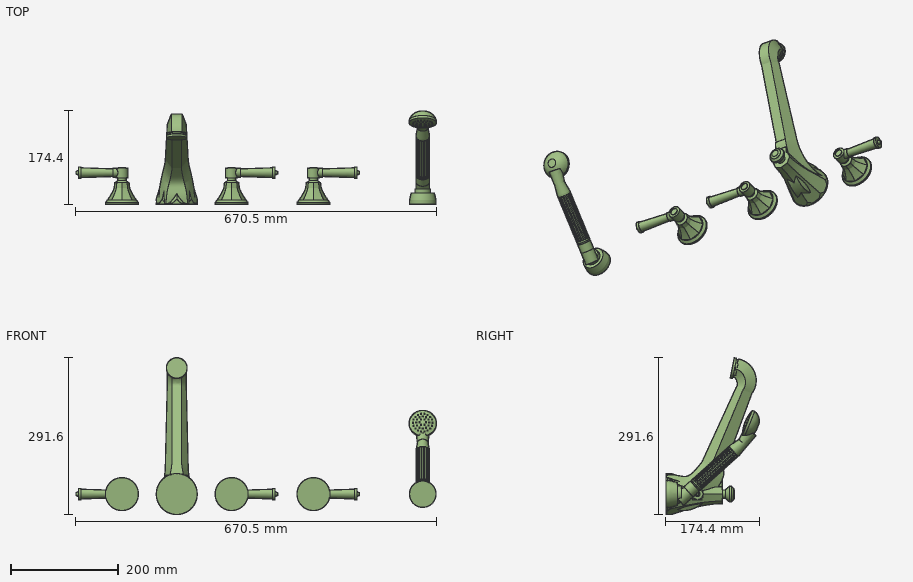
import cadquery as cq
import math


inlet_pitch = 102.0
far_handle_x = 254.0
handle_places = [(-inlet_pitch, -1), (inlet_pitch, 1), (far_handle_x, 1)]
shower_x = 457.0

octagon_half_angle = 22.5
flat_ratio = math.cos(math.radians(octagon_half_angle))

handle_base_radius = 31.0
handle_base_rim = 3.5
handle_base_height = 9.0
handle_base_top_radius = handle_base_radius - 4.0
bell_mid_radius, bell_mid_height = 20.0, 19.0
bell_waist_radius = 15.0
bell_waist_height = 30.0
bell_top_height = 41.0
bell_top_radius = 13.5
hub_skirt_height = 3.5
hub_neck_radius = 8.0
hub_bottom, hub_top = 49.5, 68.0
hub_radius = 11.5
hub_button_radius, hub_button_height = 7.0, 1.5
lever_height = 59.0
lever_start = 17.0
lever_end = 76.5
lever_tip = 86.0
lever_collar_radius = 9.0
lever_small_radius, lever_large_radius = 7.5, 9.5
lever_cap_radius, lever_cap_length = 11.0, 5.0
lever_button_radius = 5.0

spout_base_radius = 38.0
spout_base_rim = 3.0
barrel_end = 105.0
barrel_profile = [
    (spout_base_radius + 3.5, 0),
    (31.0, 33.5),
    (22.0, 67.0),
    (18.0, barrel_end),
]
rear_block_half_width, rear_block_front, rear_block_top = 10.0, 74.0, 26.0
tube_half_widths = (9.0, 18.0, 10.0)
hexagon_middle_share = 0.43
root_section = ((1.5, 35.0), (1.5, -13.5), (20.0, 33.5, 20.0))
low_bend_section = ((35.0, 33.0), (74.0, -13.5), (15.5, 28.0, 10.0))
high_bend_section = ((51.0, 41.0), (104.5, 26.0), (11.5, 23.0, 11.5))
tube_bottom_section = ((67.0, 59.5), (107.0, 43.0), (9.0, 21.5, 10.0))
tube_top_section = ((131.0, 198.5), (160.0, 187.0), tube_half_widths)
nose_sections = [
    ((133.0, 208.0), (168.0, 213.0), tube_half_widths),
    ((129.5, 215.0), (160.0, 235.0), tube_half_widths),
    ((124.5, 218.0), (135.5, 251.0), tube_half_widths),
]
outlet_radius = 19.5
outlet_rim = 5.0
outlet_step = 3.0
outlet_center = (123.0, 234.5)
outlet_tilt = 11.3
knob_stem_radius = 8.0
knob_radius = 15.0
knob_stem_length = 5.5
knob_mid, knob_end = 120.0, 128.0
knob_rim_half = 2.0
knob_crown_radius, knob_tip_radius = 11.0, 7.0
knob_crown_drop = 2.0

holder_radius = 25.0
holder_height = 21.5
holder_wall_height = 7.5
holder_shoulder_middle = (23.5, 15.0)
holder_shoulder_radius = 21.5
holder_collar_radius, holder_collar_top = 15.0, 29.0
wand_foot = (42.0, 4.0)
wand_angle = 42.0
wand_radius = 13.0
socket_length = 23.5
grip_start = 19.0
ring_width, ring_depth = 3.0, 1.5
grip_end = 116.0
neck_end = 135.5
neck_radius = 10.0
flute_count = 16
flute_radius = 1.5
flute_margin = 3.5
head_center = (151.5, 132.0)
head_tilt = 22.0
head_radius = 25.5
head_depth = 21.0
face_bulge = 5.0
face_arc_middle = (14.0, 3.5)
back_arc_middle = (19.5, -15.0)
head_side = 5.0
head_back_radius = 8.0
throat_top = (157.5, 116.0)
throat_radius = 13.0
nozzle_radius = 1.0
nozzle_depth = 2.0
nozzle_ring_pitch = 6.0
nozzle_rings = 3
nozzles_per_ring = 6


def revolve_about_y(profile):
    """Solid of revolution about Y from (radius, y) points that start and end on the axis."""
    return cq.Workplane("XY").polyline(profile).close().revolve(360, (0, 0, 0), (0, 1, 0))


def octagonal_flare(corner_profile):
    """Eight-sided column along Y with corners on X and Z; the profile lists (corner radius, y)."""
    half = [(radius * flat_ratio, y) for radius, y in corner_profile]
    mirrored = [(-radius, y) for radius, y in reversed(half)]
    reach = 2 * max(radius for radius, _ in half)
    slab = (
        cq.Workplane("XY", origin=(0, 0, -reach))
        .moveTo(*half[0])
        .spline(half[1:], includeCurrent=True)
        .lineTo(*mirrored[0])
        .spline(mirrored[1:], includeCurrent=True)
        .close()
        .extrude(2 * reach)
        .rotate((0, 0, 0), (0, 1, 0), octagon_half_angle)
    )
    column = slab
    for turn in (45, 90, 135):
        column = column.intersect(slab.rotate((0, 0, 0), (0, 1, 0), turn))
    return column


def tilted_plane(x, center, angle):
    """Plane at (y, z) whose normal lies in YZ, turned by angle from +Y towards +Z."""
    turn = math.radians(angle)
    return cq.Plane((x, *center), (1, 0, 0), (0, math.cos(turn), math.sin(turn)))


def lever():
    """Lever along +X with a collar, a tapered grip, an end cap and a button."""
    cap_end = lever_end + lever_cap_length
    profile = [
        (0, 0),
        (0, lever_collar_radius),
        (lever_start, lever_collar_radius),
        (lever_start, lever_small_radius),
        (lever_end, lever_large_radius),
        (lever_end, lever_cap_radius),
        (cap_end, lever_cap_radius),
        (cap_end, lever_button_radius),
        (lever_tip, lever_button_radius / 2),
        (lever_tip, 0),
    ]
    return (
        cq.Workplane("XY")
        .polyline(profile)
        .close()
        .revolve(360, (0, 0, 0), (1, 0, 0))
        .translate((0, lever_height, 0))
    )


def handle(x, side):
    base = revolve_about_y([
        (0, 0),
        (handle_base_radius, 0),
        (handle_base_radius, handle_base_rim),
        (handle_base_top_radius, handle_base_height),
        (0, handle_base_height),
    ])
    bell = octagonal_flare([
        (handle_base_top_radius, handle_base_height),
        (bell_mid_radius, bell_mid_height),
        (bell_waist_radius, bell_waist_height),
    ])
    crown = octagonal_flare([(bell_waist_radius, bell_waist_height), (bell_top_radius, bell_top_height)])
    hub = revolve_about_y([
        (0, bell_top_height),
        (bell_top_radius * flat_ratio, bell_top_height),
        (hub_neck_radius, bell_top_height + hub_skirt_height),
        (hub_neck_radius, hub_bottom),
        (hub_radius, hub_bottom),
        (hub_radius, hub_top),
        (hub_button_radius, hub_top),
        (hub_button_radius, hub_top + hub_button_height),
        (0, hub_top + hub_button_height),
    ])
    lever_turn = 0 if side > 0 else 180
    arm = lever().rotate((0, 0, 0), (0, 1, 0), lever_turn)
    return base.union(bell).union(crown).union(hub).union(arm).translate((x, 0, 0))


def hexagon(front, back, half_widths):
    """Hexagonal wire across the spout between its front and back points, given as (y, z)."""
    front_half, middle_half, back_half = half_widths
    middle = tuple(f + hexagon_middle_share * (b - f) for f, b in zip(front, back))
    corners = [
        (-front_half, *front),
        (front_half, *front),
        (middle_half, *middle),
        (back_half, *back),
        (-back_half, *back),
        (-middle_half, *middle),
    ]
    return cq.Wire.makePolygon([cq.Vector(*corner) for corner in corners], close=True)


def hexagon_loft(sections, ruled=False):
    return cq.Workplane(cq.Solid.makeLoft([hexagon(*section) for section in sections], ruled))


def neck_of_spout():
    """Hexagonal foot that bends up from the deck, the straight tube and the curved nose."""
    foot = hexagon_loft([root_section, low_bend_section, high_bend_section, tube_bottom_section])
    tube = hexagon_loft([tube_bottom_section, tube_top_section], ruled=True)
    nose = hexagon_loft([tube_top_section, *nose_sections])
    return foot.union(tube).union(nose)


def outlet():
    """Round outlet rim with a smaller round neck behind it."""
    face = tilted_plane(0, outlet_center, 180 - outlet_tilt)
    rim = cq.Workplane(face).circle(outlet_radius).extrude(-outlet_rim)
    neck = cq.Workplane(face).circle(outlet_radius - outlet_step).extrude(-2 * outlet_rim)
    return rim.union(neck)


def barrel():
    """Eight-sided valve barrel trimmed to the round base, with a block joining it to the bend."""
    envelope = cq.Workplane("XZ").circle(spout_base_radius).extrude(-barrel_end)
    rim = cq.Workplane("XZ").circle(spout_base_radius).extrude(-spout_base_rim)
    rear_block = (
        cq.Workplane("XZ", origin=(0, rear_block_front, rear_block_top / 2))
        .rect(2 * rear_block_half_width, rear_block_top)
        .extrude(rear_block_front - barrel_end)
    )
    return octagonal_flare(barrel_profile).intersect(envelope).union(rim).union(rear_block)


def diverter_knob():
    return revolve_about_y([
        (0, barrel_end),
        (knob_stem_radius, barrel_end),
        (knob_stem_radius, barrel_end + knob_stem_length),
        (knob_radius, knob_mid - knob_rim_half),
        (knob_radius, knob_mid + knob_rim_half),
        (knob_crown_radius, knob_end - knob_crown_drop),
        (knob_tip_radius, knob_end),
        (0, knob_end),
    ])


def spout():
    return barrel().union(neck_of_spout()).union(outlet()).union(diverter_knob())


def shower_holder():
    bell = (
        cq.Workplane("XY")
        .lineTo(holder_radius, 0)
        .lineTo(holder_radius, holder_wall_height)
        .threePointArc(holder_shoulder_middle, (holder_shoulder_radius, holder_height))
        .lineTo(holder_collar_radius, holder_height)
        .lineTo(holder_collar_radius, holder_collar_top)
        .lineTo(0, holder_collar_top)
        .close()
        .revolve(360, (0, 0, 0), (0, 1, 0))
        .translate((shower_x, 0, 0))
    )
    socket = cq.Workplane(wand_plane(0)).circle(wand_radius).extrude(-socket_length)
    return bell.union(socket)


def wand_point(distance):
    """Point (y, z) on the wand axis, at a distance from the wand foot."""
    turn = math.radians(wand_angle)
    return (wand_foot[0] + distance * math.cos(turn), wand_foot[1] + distance * math.sin(turn))


def wand_plane(distance):
    return tilted_plane(shower_x, wand_point(distance), wand_angle)


def grip():
    """Round wand with lengthwise flutes between two plain ends, and a slimmer tapered neck."""
    shaft = cq.Workplane(wand_plane(0)).circle(wand_radius).extrude(grip_end)
    flutes = (
        cq.Workplane(wand_plane(grip_start + flute_margin))
        .polarArray(wand_radius, 0, 360, flute_count)
        .circle(flute_radius)
        .extrude(grip_end - grip_start - 2 * flute_margin)
    )
    ring = (
        cq.Workplane(wand_plane(grip_start))
        .circle(wand_radius)
        .circle(wand_radius - ring_depth)
        .extrude(-ring_width)
    )
    neck = (
        cq.Workplane(wand_plane(grip_end))
        .circle(wand_radius)
        .workplane(offset=neck_end - grip_end)
        .circle(neck_radius)
        .loft()
    )
    return shaft.cut(flutes).cut(ring).union(neck)


def spray_head():
    """Lens-shaped head whose spray face carries rings of shallow nozzle holes."""
    profile = (
        cq.Workplane("XY")
        .moveTo(0, face_bulge)
        .threePointArc(face_arc_middle, (head_radius, 0))
        .lineTo(head_radius, -head_side)
        .threePointArc(back_arc_middle, (head_back_radius, -head_depth))
        .lineTo(0, -head_depth)
        .close()
    )
    head = profile.revolve(360, (0, 0, 0), (0, 1, 0))
    for ring in range(1, nozzle_rings + 1):
        holes = (
            cq.Workplane("XZ", origin=(0, face_bulge, 0))
            .polarArray(ring * nozzle_ring_pitch, 0, 360, ring * nozzles_per_ring)
            .circle(nozzle_radius)
            .extrude(face_bulge + nozzle_depth)
        )
        head = head.cut(holes)
    return head.rotate((0, 0, 0), (1, 0, 0), 180 - head_tilt).translate((shower_x, *head_center))


def hand_shower():
    neck_top = cq.Workplane(wand_plane(neck_end)).circle(neck_radius).wires().val()
    neck_y, neck_z = wand_point(neck_end)
    throat_y, throat_z = throat_top
    turn = math.degrees(math.atan2(throat_z - neck_z, throat_y - neck_y))
    throat_end = cq.Workplane(tilted_plane(shower_x, throat_top, turn)).circle(throat_radius).wires().val()
    throat = cq.Workplane(cq.Solid.makeLoft([neck_top, throat_end], True))
    return grip().union(throat).union(spray_head())


handles = [handle(x, side) for x, side in handle_places]
result = cq.Compound.makeCompound([
    *[h.val() for h in handles],
    spout().val(),
    shower_holder().val(),
    hand_shower().val(),
])